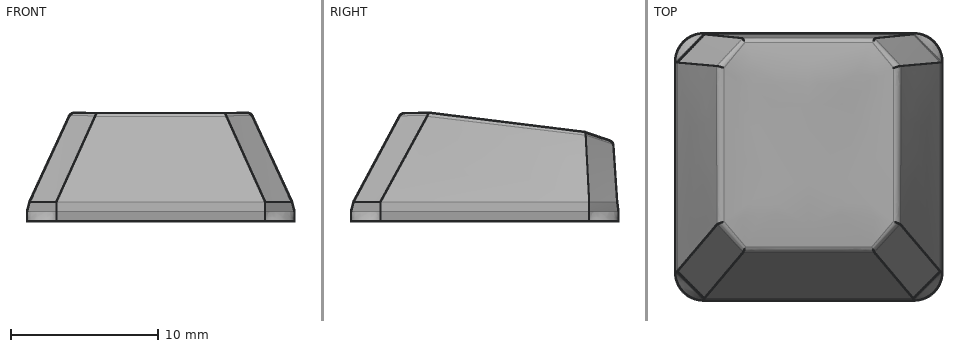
import cadquery as cq
import math

base_half = 9.08
corner_cut = 2.0
skirt_height = 0.65
band_height = 1.3
band_inset = 0.16
band_back_inset = 0.09

rim_half_x = 6.08
rim_corner_x = 4.35
rim_back_y = 8.72
rim_back_corner_y = 6.83
rim_front_corner_y = -3.75
rim_front_y = -5.68
rim_back_z = 5.4
rim_back_corner_z = 6.14
rim_front_corner_z = 7.43
rim_front_z = 7.34
rim_fillet = 0.45


def mirrored_ring(right_side):
    """Close a right-hand chain of corners with its mirror image in X."""
    left_side = [(-x, y, z) for x, y, z in reversed(right_side)]
    return [cq.Vector(*corner) for corner in right_side + left_side]


def octagon(half_x, front_y, back_y, z):
    """Square ring with its four corners cut; the flats keep the skirt's length."""
    flat = base_half - corner_cut
    return mirrored_ring(
        [(flat, front_y, z), (half_x, -flat, z), (half_x, flat, z), (flat, back_y, z)]
    )


def straight_edges(ring):
    """Join each corner of a ring to the next one."""
    return [cq.Edge.makeLine(a, b) for a, b in zip(ring, ring[1:] + ring[:1])]


def rounded_edges(ring):
    """Edges of a square ring, with quarter arcs at its corners."""
    edges = straight_edges(ring)
    for i in range(0, len(ring), 2):
        start = ring[i]
        end = ring[(i + 1) % len(ring)]
        inner = base_half - corner_cut
        center = cq.Vector(math.copysign(inner, start.x), math.copysign(inner, start.y), start.z)
        outward = (start + end) * 0.5 - center
        edges[i] = cq.Edge.makeThreePointArc(start, center + outward.normalized() * corner_cut, end)
    return edges


def keycap_body():
    """Stack the rings, rule the walls between them and close both ends."""
    skirt_ring = octagon(base_half, -base_half, base_half, skirt_height)
    band_half = base_half - band_inset
    band_ring = octagon(band_half, -band_half, base_half - band_back_inset, band_height)
    rim_ring = mirrored_ring([
        (rim_corner_x, rim_front_y, rim_front_z),
        (rim_half_x, rim_front_corner_y, rim_front_corner_z),
        (rim_half_x, rim_back_corner_y, rim_back_corner_z),
        (rim_corner_x, rim_back_y, rim_back_z),
    ])
    levels = [
        rounded_edges(octagon(base_half, -base_half, base_half, 0)),
        straight_edges(skirt_ring),
        straight_edges(band_ring),
        straight_edges(rim_ring),
    ]
    faces = [
        cq.Face.makeRuledSurface(lower, upper)
        for below, above in zip(levels, levels[1:])
        for lower, upper in zip(below, above)
    ]
    underside = cq.Face.makeFromWires(cq.Wire.assembleEdges(levels[0]))
    dished_top = cq.Face.makeNSidedSurface(levels[-1], [])
    return cq.Solid.makeSolid(cq.Shell.makeShell(faces + [underside, dished_top]))


def rim_edges(body):
    """Edges with both ends well above the band, which are those of the top rim."""
    return [
        edge for edge in body.Edges()
        if min(edge.startPoint().z, edge.endPoint().z) > band_height + rim_fillet
    ]


body = keycap_body()
result = cq.Workplane(body.fillet(rim_fillet, rim_edges(body)))